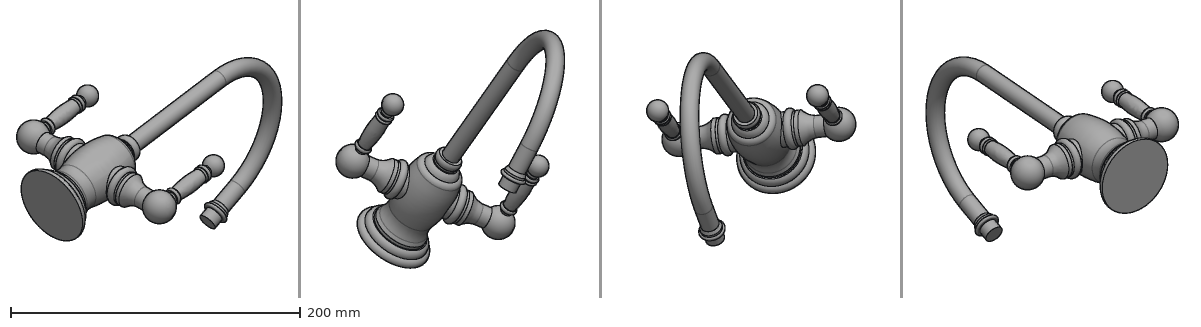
import cadquery as cq
import math

TOTAL_LENGTH = 241.5
TOTAL_WIDTH = 138.1

BASE_RADIUS = 28.0
FOOT_HEIGHT = 5.0
FOOT_RADIUS = 24.6
FOOT_SWELL = 1.5
STEP_HEIGHT = 10.6
STEP_RADIUS = 21.3
STEP_SWELL = 1.2
BAND_HEIGHT = 13.0
BAND_RADIUS = 20.3
FLARE_HEIGHT = 16.0
FLARE_RADIUS = 18.8
FLARE_HOLLOW = 0.7
WAIST_HEIGHT = 26.5
WAIST_RADIUS = 17.5
BELLY_SWELL = 3.0
SHOULDER_HEIGHT = 67.5
SHOULDER_RADIUS = 17.6
SHOULDER_SWELL = 1.0
DOME_HEIGHT = 71.2
DOME_RADIUS = 13.5
DOME_SWELL = 0.7
CROWN_HEIGHT = 76.0
CROWN_RADIUS = 9.7
NECK_RADIUS = 8.7
COLLAR_START = 77.8
COLLAR_END = 83.8
COLLAR_RADIUS = 10.0

TUBE_RADIUS = 6.5
BEND_RADIUS = 57.2
BEND_START = TOTAL_LENGTH - TUBE_RADIUS - BEND_RADIUS
SPOUT_TILT = 20.0
SPOUT_TAIL = 33.5
TIP_RADIUS = 6.8
TIP_LENGTH = 7.7
RIM_RADIUS = 9.5
RIM_WIDTH = 3.0
SLEEVE_RADIUS = 8.0
SLEEVE_WIDTH = 1.7
FERRULE_LENGTH = 15.0

ARM_HEIGHT = 47.5
BALL_RADIUS = 11.8
BALL_OFFSET = TOTAL_WIDTH / 2 - BALL_RADIUS
STUB_RADIUS = 12.3
RING_START = 20.3
RING_END = 26.3
RING_RADIUS = 14.5
CUFF_START = 28.0
CUFF_END = 31.2
CUFF_RADIUS = 12.5
ARM_NECK_START = 41.0
ARM_NECK_RADIUS = 7.7
ARM_HOLLOW = 1.0

KNOB_RADIUS = 7.7
KNOB_HEIGHT = 105.0
STEM_RADIUS = 4.0
BEAD_RADIUS = 6.3
BEAD_FLAT_RADIUS = 5.3
LOWER_BEAD = (60.9, 64.2)
MIDDLE_BEAD = (90.8, 93.0)
UPPER_BEAD = (93.5, 96.4)
GRIP_BOTTOM_RADIUS = 4.8
GRIP_TOP_RADIUS = 5.5
GRIP_SWELL = 1.0


def outline():
    """Start a half profile on the turning axis: local X is radius, local Y runs along the axis."""
    return cq.Workplane("XY").moveTo(0, 0)


def turn(profile):
    """Close a half profile onto the Y axis and revolve it."""
    return profile.close().revolve(360, (0, 0, 0), (0, 1, 0))


def curve(profile, radius, along, swell):
    """Add an arc rising to (radius, along), standing out from its chord by swell (negative: hollow)."""
    return profile.sagittaArc((radius, along), -swell)


def bead(profile, start, end, flat_radius, crest_radius):
    """Add a rounded ring between two positions along the axis."""
    return curve(profile.lineTo(flat_radius, start), flat_radius, end, crest_radius - flat_radius)


def make_body():
    profile = outline().lineTo(BASE_RADIUS, 0)
    profile = curve(profile, FOOT_RADIUS, FOOT_HEIGHT, FOOT_SWELL)
    profile = curve(profile, STEP_RADIUS, STEP_HEIGHT, STEP_SWELL)
    profile = (
        profile.lineTo(BAND_RADIUS, STEP_HEIGHT)
        .lineTo(BAND_RADIUS, BAND_HEIGHT)
        .lineTo(FLARE_RADIUS, FLARE_HEIGHT)
    )
    profile = curve(profile, WAIST_RADIUS, WAIST_HEIGHT, -FLARE_HOLLOW)
    profile = curve(profile, SHOULDER_RADIUS, SHOULDER_HEIGHT, BELLY_SWELL)
    profile = curve(profile, DOME_RADIUS, DOME_HEIGHT, SHOULDER_SWELL)
    profile = curve(profile, CROWN_RADIUS, CROWN_HEIGHT, DOME_SWELL)
    profile = profile.lineTo(NECK_RADIUS, CROWN_HEIGHT)
    profile = bead(profile, COLLAR_START, COLLAR_END, NECK_RADIUS, COLLAR_RADIUS)
    return turn(profile.lineTo(0, COLLAR_END))


def make_spout():
    tilt = math.radians(SPOUT_TILT)
    bend_y = BEND_START + BEND_RADIUS * math.sin(tilt)
    bend_z = -BEND_RADIUS * (1 + math.cos(tilt))
    tip_y = bend_y - SPOUT_TAIL * math.cos(tilt)
    tip_z = bend_z - SPOUT_TAIL * math.sin(tilt)
    tube_tail = SPOUT_TAIL - FERRULE_LENGTH / 2
    tube_y = bend_y - tube_tail * math.cos(tilt)
    tube_z = bend_z - tube_tail * math.sin(tilt)

    mid_angle = -tilt / 2
    path = (
        cq.Workplane("YZ")
        .moveTo(CROWN_HEIGHT, 0)
        .lineTo(BEND_START, 0)
        .threePointArc(
            (BEND_START + BEND_RADIUS * math.cos(mid_angle), BEND_RADIUS * (math.sin(mid_angle) - 1)),
            (bend_y, bend_z),
        )
        .lineTo(tube_y, tube_z)
    )
    tube = cq.Workplane("XZ", origin=(0, CROWN_HEIGHT, 0)).circle(TUBE_RADIUS).sweep(path)

    sleeve_start = FERRULE_LENGTH - TIP_LENGTH - RIM_WIDTH - SLEEVE_WIDTH
    rim_start = sleeve_start + SLEEVE_WIDTH
    profile = outline().lineTo(TUBE_RADIUS, 0).lineTo(SLEEVE_RADIUS, sleeve_start)
    profile = bead(profile, rim_start, rim_start + RIM_WIDTH, SLEEVE_RADIUS, RIM_RADIUS)
    profile = (
        profile.lineTo(TIP_RADIUS, rim_start + RIM_WIDTH)
        .lineTo(TIP_RADIUS, FERRULE_LENGTH)
        .lineTo(0, FERRULE_LENGTH)
    )
    ferrule = (
        turn(profile)
        .translate((0, -FERRULE_LENGTH, 0))
        .rotate((0, 0, 0), (1, 0, 0), 180 + SPOUT_TILT)
        .translate((0, tip_y, tip_z))
    )
    return tube.union(ferrule)


def make_arm():
    """Right-hand arm, turned along Y and then laid along +X."""
    profile = outline().lineTo(STUB_RADIUS, 0)
    profile = bead(profile, RING_START, RING_END, STUB_RADIUS, RING_RADIUS)
    profile = (
        profile.lineTo(STUB_RADIUS, CUFF_START)
        .lineTo(CUFF_RADIUS, CUFF_START)
        .lineTo(CUFF_RADIUS, CUFF_END)
    )
    profile = curve(profile, ARM_NECK_RADIUS, ARM_NECK_START, -ARM_HOLLOW)
    profile = profile.lineTo(ARM_NECK_RADIUS, BALL_OFFSET).lineTo(0, BALL_OFFSET)
    arm = turn(profile).rotate((0, 0, 0), (0, 0, 1), -90)
    ball = cq.Workplane("XY").sphere(BALL_RADIUS).translate((BALL_OFFSET, 0, 0))
    return arm.union(ball).translate((0, ARM_HEIGHT, 0))


def make_lever():
    """Right-hand lever, rising from the center of the arm ball."""
    profile = cq.Workplane("XY").moveTo(0, ARM_HEIGHT).lineTo(STEM_RADIUS, ARM_HEIGHT)
    profile = profile.lineTo(STEM_RADIUS, LOWER_BEAD[0])
    profile = bead(profile, *LOWER_BEAD, BEAD_FLAT_RADIUS, BEAD_RADIUS)
    profile = profile.lineTo(GRIP_BOTTOM_RADIUS, LOWER_BEAD[1])
    profile = curve(profile, GRIP_TOP_RADIUS, MIDDLE_BEAD[0], GRIP_SWELL)
    profile = bead(profile, *MIDDLE_BEAD, BEAD_FLAT_RADIUS, BEAD_RADIUS)
    profile = bead(profile, *UPPER_BEAD, BEAD_FLAT_RADIUS, BEAD_RADIUS)
    profile = (
        profile.lineTo(STEM_RADIUS, UPPER_BEAD[1])
        .lineTo(STEM_RADIUS, KNOB_HEIGHT)
        .lineTo(0, KNOB_HEIGHT)
    )
    knob = cq.Workplane("XY").sphere(KNOB_RADIUS).translate((0, KNOB_HEIGHT, 0))
    return turn(profile).union(knob).translate((BALL_OFFSET, 0, 0))


handle = make_arm().union(make_lever())
result = make_body().union(make_spout()).union(handle).union(handle.mirror("YZ"))